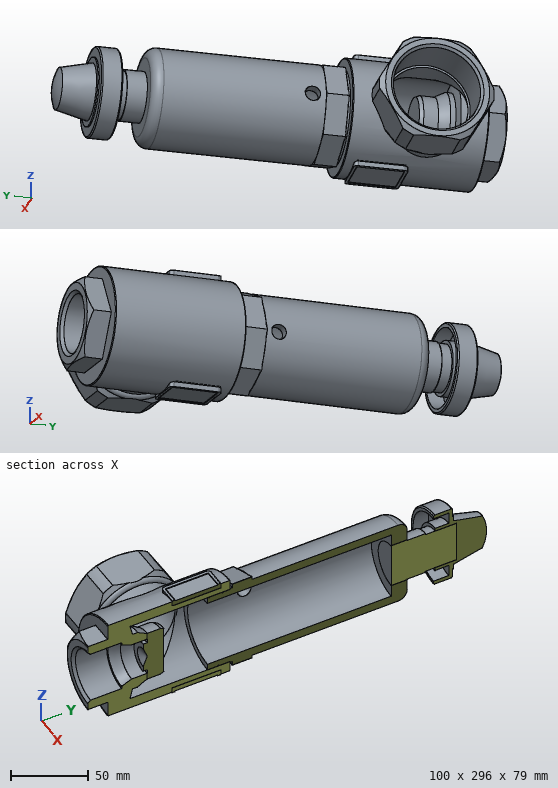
import cadquery as cq
import math


housing_start = 14.8
housing_end = 105.7
bonnet_hex_start = 107.2
bonnet_hex_end = 122.0
bonnet_top = 237.0
spindle_shoulder = 250.5
knob_rim_start = 256.3
knob_rim_end = 270.5
knob_cone_start = 271.5
knob_cone_end = 292.7
knob_top = 296.0

housing_radius = 39.0
housing_chamfer = 0.5
cavity_radius = 30.8
cavity_floor = 31.7

inlet_flats = 54.5
inlet_chamfer_radius = 26.5
inlet_chamfer_height = 2.7
inlet_bore_radius = 19.5
inlet_mouth_radius = 21.5
inlet_bore_depth = 25.2
nozzle_cone_radius = 17.8
nozzle_bore_radius = 14.5
nozzle_cone_end = 32.5
seat_height = 44.0
seat_foot_radius = 23.7
seat_foot_top = 37.0
seat_foot_base = 33.5
floor_underside = 26.5

outlet_center = 54.8
outlet_face = 61.0
outlet_flats = 70.0
outlet_corner_radius = 38.2
outlet_hex_back = 30.8
outlet_back_round = 3.0
outlet_face_radius = 34.5
outlet_chamfer_length = 2.5
outlet_neck_radius = 32.3
outlet_bore_radius = 29.0
outlet_mouth_radius = 30.8
outlet_mouth_depth = 1.8
outlet_step = 31.0
outlet_inner_radius = 27.5

disc_radius = 19.8
disc_top = 56.5
disc_chamfer_height = 2.7
disc_top_radius = 18.5
pilot_radius = 11.8
pilot_length = 3.0
recess_radius = 7.5
recess_depth = 3.0

bonnet_radius = 33.0
bonnet_top_round = 7.0
bonnet_octagon_radius = 35.0
bonnet_collar_radius = 32.0
spigot_bottom = 88.8
chamber_radius = 26.0
chamber_top = 225.0
vent_radius = 5.0
vent_center = 130.8

spindle_radius = 17.0
spindle_tip_radius = 16.0
spindle_tip_end = 273.8
knob_radius = 30.0
knob_chamfer = 1.0
knob_recess_radius = 26.5
knob_recess_floor = 267.5
knob_boss_radius = 18.5
knob_boss_start = 257.5
knob_land_radius = 22.8
knob_base_radius = 19.0
knob_shoulder_radius = 14.0

badge_width = 29.0
badge_start = 62.8
badge_end = 98.5
badge_span = 79.0
badge_top = badge_span / 2
badge_floor = 35.5
badge_corner_radius = 2.5
badge_border = 2.0
badge_panel_depth = 0.5


def turned(profile):
    """Solid of revolution about the valve axis from (radius, station) points."""
    return cq.Workplane("XY").polyline(profile).close().revolve(360, (0, 0, 0), (0, 1, 0))


def cylinder_y(radius, start, end):
    """Cylinder on the valve axis between two stations."""
    return turned([(0, start), (radius, start), (radius, end), (0, end)])


def outlet_turned(profile):
    """Solid of revolution about the outlet axis from (distance along -X, radius) points."""
    points = [(-distance, outlet_center + radius) for distance, radius in profile]
    axis_start = (0, outlet_center, 0)
    axis_end = (-1, outlet_center, 0)
    return cq.Workplane("XY").polyline(points).close().revolve(360, axis_start, axis_end)


def badge_blank():
    """Flat block that fills the outline of the upper badge."""
    length = badge_end - badge_start
    return (
        cq.Workplane("XY", origin=(0, badge_start + length / 2, badge_floor))
        .rect(badge_width, length)
        .extrude(badge_top - badge_floor)
        .edges("|Z")
        .fillet(badge_corner_radius)
    )


def inlet_hexagon():
    """Hexagon around the inlet, corners pointing along X and chamfered at the face."""
    across_corners = inlet_flats / math.cos(math.radians(30))
    corner_radius = across_corners / 2
    hexagon = cq.Workplane("XZ").polygon(6, across_corners).extrude(-housing_start)
    envelope = turned([
        (0, 0),
        (inlet_chamfer_radius, 0),
        (corner_radius, inlet_chamfer_height),
        (corner_radius, housing_start),
        (0, housing_start),
    ])
    return hexagon.intersect(envelope)


def outlet_envelope():
    """Turned limits of the outlet hexagon: rounded and chamfered back, chamfered face."""
    shoulder_radius = outlet_neck_radius + outlet_back_round
    shoulder = outlet_hex_back + outlet_back_round
    corner_start = shoulder + outlet_corner_radius - shoulder_radius
    arc_middle = outlet_back_round * (1 - math.sqrt(0.5))

    def point(distance, radius):
        return (-distance, outlet_center + radius)

    return (
        cq.Workplane("XY")
        .moveTo(*point(outlet_hex_back, 0))
        .lineTo(*point(outlet_hex_back, outlet_neck_radius))
        .threePointArc(
            point(outlet_hex_back + arc_middle, shoulder_radius - arc_middle),
            point(shoulder, shoulder_radius),
        )
        .lineTo(*point(corner_start, outlet_corner_radius))
        .lineTo(*point(outlet_face - outlet_chamfer_length, outlet_corner_radius))
        .lineTo(*point(outlet_face, outlet_face_radius))
        .lineTo(*point(outlet_face, 0))
        .close()
        .revolve(360, (0, outlet_center, 0), (-1, outlet_center, 0))
    )


def outlet_branch():
    """Round neck that carries a hexagon with turned-off corners."""
    across_corners = outlet_flats / math.cos(math.radians(30))
    hexagon = (
        cq.Workplane("YZ", origin=(-outlet_hex_back, outlet_center, 0))
        .polygon(6, across_corners)
        .extrude(outlet_hex_back - outlet_face)
        .intersect(outlet_envelope())
    )
    neck = outlet_turned([
        (0, 0),
        (0, outlet_neck_radius),
        (outlet_hex_back, outlet_neck_radius),
        (outlet_hex_back, 0),
    ])
    return hexagon.union(neck)


def outlet_bore():
    """Outlet bore with a chamfered mouth and a narrower inner end that opens into the cavity."""
    return outlet_turned([
        (0, 0),
        (0, outlet_inner_radius),
        (outlet_step, outlet_inner_radius),
        (outlet_step, outlet_bore_radius),
        (outlet_face - outlet_mouth_depth, outlet_bore_radius),
        (outlet_face, outlet_mouth_radius),
        (outlet_face, 0),
    ])


def inlet_bore():
    """Inlet bore with a chamfered mouth that tapers to the nozzle."""
    mouth_depth = inlet_mouth_radius - inlet_bore_radius
    return turned([
        (0, 0),
        (inlet_mouth_radius, 0),
        (inlet_bore_radius, mouth_depth),
        (inlet_bore_radius, inlet_bore_depth),
        (nozzle_cone_radius, inlet_bore_depth),
        (nozzle_bore_radius, nozzle_cone_end),
        (nozzle_bore_radius, seat_height),
        (0, seat_height),
    ])


def seat():
    """Cavity floor that rises to the seat, left whole where the outlet bore passes over it."""
    return turned([
        (0, floor_underside),
        (cavity_radius, floor_underside),
        (cavity_radius, cavity_floor),
        (seat_foot_radius, seat_foot_base),
        (seat_foot_radius, seat_foot_top),
        (disc_radius, seat_height),
        (0, seat_height),
    ])


def make_housing():
    """Housing with both connections, its bores, the seat and the recesses for the badges."""
    body = cylinder_y(housing_radius, housing_start, housing_end)
    body = body.faces("<Y or >Y").edges().chamfer(housing_chamfer)
    body = body.union(inlet_hexagon()).union(outlet_branch())
    body = body.cut(cylinder_y(cavity_radius, cavity_floor, housing_end))
    body = body.cut(outlet_bore()).union(seat()).cut(inlet_bore())
    blank = badge_blank()
    return body.cut(blank).cut(blank.mirror("XY"))


def make_disc():
    """Valve disc on the seat, with a pilot in the nozzle and a conical recess below."""
    pilot_bottom = seat_height - pilot_length
    return turned([
        (0, pilot_bottom + recess_depth),
        (recess_radius, pilot_bottom),
        (pilot_radius, pilot_bottom),
        (pilot_radius, seat_height),
        (disc_radius, seat_height),
        (disc_radius, disc_top - disc_chamfer_height),
        (disc_top_radius, disc_top),
        (0, disc_top),
    ])


def make_bonnet():
    """Hollow bonnet with an octagon, a spigot in the housing and a cross vent."""
    barrel = cylinder_y(bonnet_radius, bonnet_hex_end, bonnet_top)
    barrel = barrel.faces(">Y").edges().fillet(bonnet_top_round)
    octagon = (
        cq.Workplane("XZ", origin=(0, bonnet_hex_start, 0))
        .polygon(8, 2 * bonnet_octagon_radius)
        .extrude(bonnet_hex_start - bonnet_hex_end)
    )
    collar = cylinder_y(bonnet_collar_radius, housing_end, bonnet_hex_start)
    spigot = cylinder_y(cavity_radius, spigot_bottom, housing_end)
    chamber = cylinder_y(chamber_radius, spigot_bottom, chamber_top)
    spindle_hole = cylinder_y(spindle_radius, chamber_top, bonnet_top)
    vent = (
        cq.Workplane("YZ")
        .center(vent_center, 0)
        .circle(vent_radius)
        .extrude(bonnet_octagon_radius, both=True)
    )
    bonnet = barrel.union(octagon).union(collar).union(spigot)
    return bonnet.cut(chamber).cut(spindle_hole).cut(vent)


def make_spindle():
    """Shouldered spindle between the bonnet and the knob."""
    shank = cylinder_y(spindle_radius, chamber_top, spindle_shoulder)
    return shank.union(cylinder_y(spindle_tip_radius, spindle_shoulder, spindle_tip_end))


def make_knob():
    """Knob with a hollow rim around a boss, a raised land and a tapered grip with a domed end."""
    rim = cylinder_y(knob_radius, knob_rim_start, knob_rim_end)
    rim = rim.faces("<Y or >Y").edges().chamfer(knob_chamfer)
    land = cylinder_y(knob_land_radius, knob_rim_end, knob_cone_start)
    dome_height = knob_top - knob_cone_end
    dome_radius = (knob_shoulder_radius ** 2 + dome_height ** 2) / (2 * dome_height)
    dome_center = knob_top - dome_radius
    half_angle = math.asin(knob_shoulder_radius / dome_radius) / 2
    dome_middle = (
        dome_radius * math.sin(half_angle),
        dome_center + dome_radius * math.cos(half_angle),
    )
    grip = (
        cq.Workplane("XY")
        .moveTo(0, knob_cone_start)
        .lineTo(knob_base_radius, knob_cone_start)
        .lineTo(knob_shoulder_radius, knob_cone_end)
        .threePointArc(dome_middle, (0, knob_top))
        .close()
        .revolve(360, (0, 0, 0), (0, 1, 0))
    )
    recess = cylinder_y(knob_recess_radius, knob_rim_start, knob_recess_floor)
    boss = cylinder_y(knob_boss_radius, knob_boss_start, knob_recess_floor)
    socket = cylinder_y(spindle_tip_radius, knob_rim_start, spindle_tip_end)
    return rim.union(land).union(grip).cut(recess).union(boss).cut(socket)


def make_badge():
    """Upper badge: a plate let into the housing, with a border around a sunk panel."""
    length = badge_end - badge_start
    panel = (
        cq.Workplane("XY", origin=(0, badge_start + length / 2, badge_top))
        .rect(badge_width - 2 * badge_border, length - 2 * badge_border)
        .extrude(-badge_panel_depth)
    )
    return badge_blank().cut(panel)


housing = make_housing()
disc = make_disc()
bonnet = make_bonnet()
spindle = make_spindle()
knob = make_knob()
upper_badge = make_badge()
badges = [upper_badge, upper_badge.mirror("XY")]

result = cq.Compound.makeCompound([
    housing.val(),
    disc.val(),
    bonnet.val(),
    spindle.val(),
    knob.val(),
    *[badge.val() for badge in badges],
])